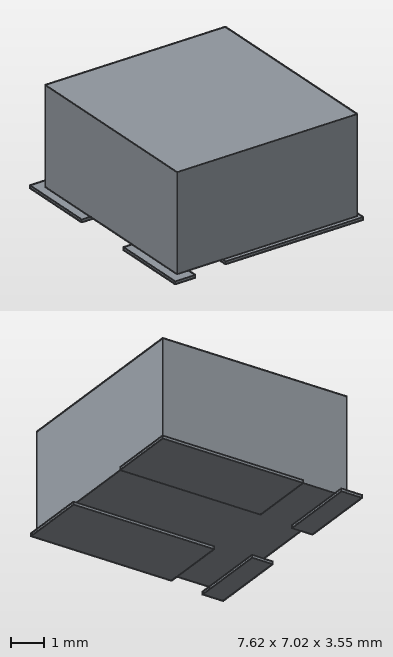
import cadquery as cq

overall_width = 7.62
overall_depth = 7.02
overall_height = 3.55
pad_thickness = 0.1

housing_width = 6.92
housing_depth = 6.6
housing_front_setback = 0.31

front_pad_width = 2.72
front_pad_depth = 0.74

rear_pad_width = 2.34
rear_pad_depth = 5.04
rear_pair_width = 7.22

front_edge = -overall_depth / 2
rear_edge = overall_depth / 2


def make_block(width, depth, height, center_x, front_y, bottom_z):
    """Rectangular block placed by its X centre, front face and bottom face."""
    return (
        cq.Workplane("XY")
        .box(width, depth, height, centered=(True, False, False))
        .translate((center_x, front_y, bottom_z))
    )


def make_housing():
    """Plain block resting on top of the four pads."""
    height = overall_height - pad_thickness
    front_y = front_edge + housing_front_setback
    return make_block(housing_width, housing_depth, height, 0, front_y, pad_thickness)


def make_front_pad(side):
    """Pad at the front corner; side is -1 for left and 1 for right."""
    center_x = side * (overall_width - front_pad_width) / 2
    return make_block(front_pad_width, front_pad_depth, pad_thickness, center_x, front_edge, 0)


def make_rear_pad(side):
    """Pad running forward from the rear edge; side is -1 for left and 1 for right."""
    center_x = side * (rear_pair_width - rear_pad_width) / 2
    front_y = rear_edge - rear_pad_depth
    return make_block(rear_pad_width, rear_pad_depth, pad_thickness, center_x, front_y, 0)


housing = make_housing()
front_pads = [make_front_pad(side) for side in (-1, 1)]
rear_pads = [make_rear_pad(side) for side in (-1, 1)]

result = cq.Compound.makeCompound(
    [housing.val(), *[pad.val() for pad in front_pads + rear_pads]]
)